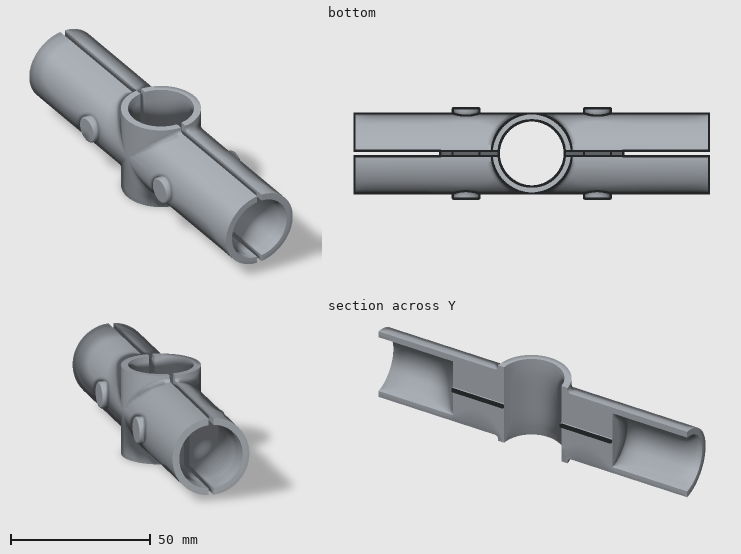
import cadquery as cq

main_length = 127.0
cross_height = 33.0
outer_diameter = 28.7
bore_diameter = 23.6
crotch_fillet = 1.3
fillet_end_gap = 0.1

core_length = 65.5

slot_width = 1.9
web_thickness = 1.1

pin_diameter = 9.7
pin_length = 32.5
pin_offset = 23.5
pin_edge_fillet = 0.6

pin_positions = [-pin_offset, pin_offset]


def rod_x(diameter, length):
    """Cylinder along X, centred on the origin."""
    return cq.Workplane("YZ").circle(diameter / 2).extrude(length / 2, both=True)


def rod_y(diameter, length, x):
    """Cylinder along Y, centred at the given X."""
    return cq.Workplane("XZ").center(x, 0).circle(diameter / 2).extrude(length / 2, both=True)


def rod_z(diameter, length):
    """Cylinder along Z, centred on the origin."""
    return cq.Workplane("XY").circle(diameter / 2).extrude(length / 2, both=True)


def cut_slots(body):
    """Cut the lengthwise slot above and below the web."""
    slot_height = (cross_height - web_thickness) / 2
    slot_center = (cross_height + web_thickness) / 4
    for side in (-1, 1):
        slot = cq.Workplane("XY").box(main_length, slot_width, slot_height)
        body = body.cut(slot.translate((0, 0, side * slot_center)))
    return body


def make_crossed_rods():
    """Two equal rods crossing at right angles, with filleted crossing edges.

    The crossing edges pinch out where they meet on the Y axis, so the fillet is
    built on rods flattened just short of that point and then joined to the full rods.
    """
    rods = rod_x(outer_diameter, main_length).union(rod_z(outer_diameter, cross_height))
    flat_width = outer_diameter - 2 * fillet_end_gap
    flattened = rods.intersect(cq.Workplane("XY").box(main_length, flat_width, cross_height))
    filleted = flattened.edges("%ELLIPSE").fillet(crotch_fillet)
    return rods.union(filleted)


def make_clamp():
    clamp = make_crossed_rods()
    sockets = rod_x(bore_diameter, main_length).cut(rod_x(bore_diameter, core_length))
    clamp = clamp.cut(sockets)
    clamp = clamp.cut(rod_z(bore_diameter, cross_height))
    clamp = cut_slots(clamp)
    for x in pin_positions:
        clamp = clamp.cut(rod_y(pin_diameter, pin_length, x))
    return clamp


def make_pin(x):
    """Pin with rounded ends, slotted in line with the clamp."""
    pin = rod_y(pin_diameter, pin_length, x)
    pin = pin.faces("<Y or >Y").edges().fillet(pin_edge_fillet)
    return cut_slots(pin)


clamp = make_clamp()
pins = [make_pin(x) for x in pin_positions]

result = cq.Compound.makeCompound([clamp.val(), *[pin.val() for pin in pins]])